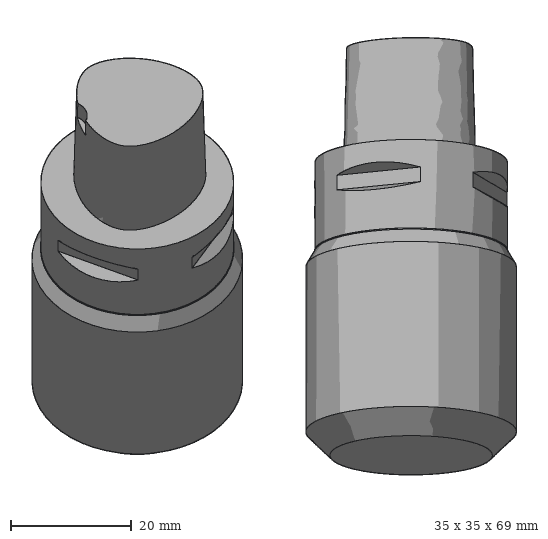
import cadquery as cq
import math

body_diameter = 35.0
neck_diameter = 32.0
bottom_chamfer = 4.0
shoulder_z = 32.2
shoulder_angle = 30.0
neck_top_z = 50.0
collar_height = 0.2
collar_step = 0.1

overall_height = 69.0
shank_top_radius = 10.5
shank_taper = 1 / 40
lobe_height = 0.7
lobe_count = 3

slot_count = 4
slot_first_angle = 45.0
slot_floor_distance = 14.15
slot_floor_height = 2.5
slot_center_z = 44.1
slot_wall_angle = 30.0

notch_radius = 3.45
notch_center_y = -12.35
notch_depth = 3.25


def make_body():
    body_radius = body_diameter / 2
    neck_radius = neck_diameter / 2
    slope = math.tan(math.radians(shoulder_angle))
    collar_radius = neck_radius + collar_step
    shoulder_top_z = shoulder_z + (body_radius - collar_radius) / slope
    half_profile = [
        (0, 0),
        (body_radius - bottom_chamfer, 0),
        (body_radius, bottom_chamfer),
        (body_radius, shoulder_z),
        (collar_radius, shoulder_top_z),
        (collar_radius, shoulder_top_z + collar_height),
        (neck_radius, shoulder_top_z + collar_height),
        (neck_radius, neck_top_z),
        (0, neck_top_z),
    ]
    return cq.Workplane("XZ").polyline(half_profile).close().revolve(360, (0, 0), (0, 1))


def lobed_wire(mean_radius, z):
    """Constant-width outline with one lobe pointing along +Y."""

    def point(t):
        angle = 2 * math.pi * t
        support = mean_radius + lobe_height * math.cos(lobe_count * angle)
        support_rate = -lobe_count * lobe_height * math.sin(lobe_count * angle)
        along_lobe = support * math.cos(angle) - support_rate * math.sin(angle)
        across_lobe = support * math.sin(angle) + support_rate * math.cos(angle)
        return (-across_lobe, along_lobe, z)

    return cq.Workplane("XY").parametricCurve(point, N=72).val()


def make_shank():
    base_radius = shank_top_radius + shank_taper * (overall_height - neck_top_z)
    base_wire = lobed_wire(base_radius, neck_top_z)
    top_wire = lobed_wire(shank_top_radius, overall_height)
    return cq.Workplane(cq.Solid.makeLoft([base_wire, top_wire], True))


def make_slot(angle):
    """Flat-floored slot whose upper and lower walls flare outward."""
    mouth_distance = body_diameter / 2
    flare = (mouth_distance - slot_floor_distance) * math.tan(math.radians(slot_wall_angle))
    floor_half = slot_floor_height / 2
    mouth_half = floor_half + flare
    section = [
        (slot_floor_distance, slot_center_z - floor_half),
        (mouth_distance, slot_center_z - mouth_half),
        (mouth_distance, slot_center_z + mouth_half),
        (slot_floor_distance, slot_center_z + floor_half),
    ]
    slot = cq.Workplane("XZ").polyline(section).close().extrude(neck_diameter / 2, both=True)
    return slot.rotate((0, 0, 0), (0, 0, 1), angle)


def make_notch():
    notch = cq.Workplane("XY", origin=(0, notch_center_y, overall_height - notch_depth))
    return notch.circle(notch_radius).extrude(notch_depth)


result = make_body().union(make_shank())
for index in range(slot_count):
    result = result.cut(make_slot(slot_first_angle + index * 360 / slot_count))
result = result.cut(make_notch())